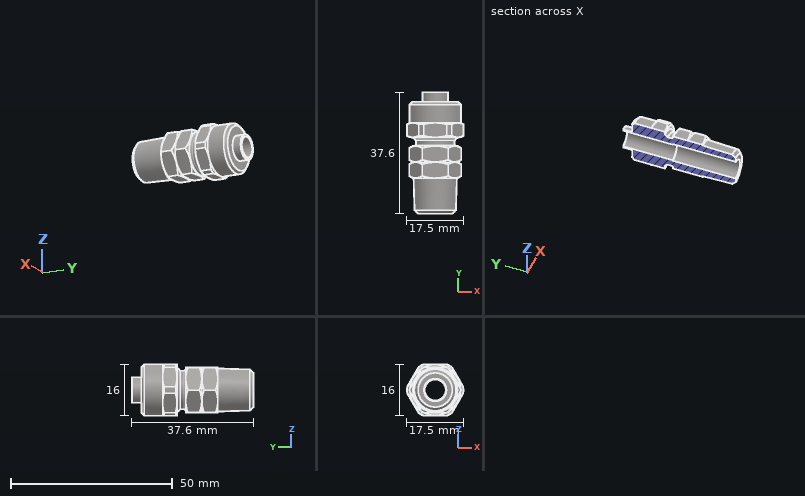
import cadquery as cq
import math


THREAD_LENGTH = 11.0
HEX_THICKNESS = 5.0
BODY_HEX_COUNT = 2
NECK_LENGTH = 2.6
NUT_HEX_THICKNESS = 4.5
NUT_SLEEVE_LENGTH = 6.58
TUBE_PROJECTION = 2.92

BODY_HEX_END = THREAD_LENGTH + BODY_HEX_COUNT * HEX_THICKNESS
NUT_START = BODY_HEX_END + NECK_LENGTH
NUT_HEX_END = NUT_START + NUT_HEX_THICKNESS
NUT_END = NUT_HEX_END + NUT_SLEEVE_LENGTH
TOTAL_LENGTH = NUT_END + TUBE_PROJECTION

THREAD_TIP_RADIUS = 6.43
THREAD_TAPER = 1 / 32
THREAD_CHAMFER = 1.15
THREAD_BASE_RADIUS = THREAD_TIP_RADIUS + THREAD_TAPER * (THREAD_LENGTH - THREAD_CHAMFER)

BODY_ACROSS_FLATS = 14.0
BODY_HEX_FACE_RADIUS = 6.9
HEX_CHAMFER_ANGLE = 30.0
CORNER_CLEARANCE = 0.1
CORNER_TO_FLAT_RATIO = 1 / math.cos(math.pi / 6)

NECK_RADIUS = 6.0
NECK_FILLET = 0.5
NECK_CONE_RISE = 0.87
COLLAR_RADIUS = 7.33
COLLAR_SLOPE_ANGLE = 5.0

NUT_ACROSS_FLATS = 16.0
NUT_CORNER_RADIUS = 8.75
NUT_FRONT_FACE_RADIUS = 7.85
NUT_SLEEVE_RADIUS = NUT_ACROSS_FLATS / 2
NUT_SLEEVE_CHAMFER = 0.95

TUBE_RADIUS = 4.0
TUBE_EDGE_CHAMFER = 0.1
BODY_BORE_RADIUS = 3.5
TUBE_BORE_RADIUS = 3.25


def cross_section(station):
    """Workplane square to the Y axis at a station, facing +Y."""
    return cq.Workplane(cq.Plane(origin=(0, station, 0), xDir=(1, 0, 0), normal=(0, 1, 0)))


def cylinder(radius, start, end):
    """Cylinder about the Y axis between two stations."""
    return cross_section(start).circle(radius).extrude(end - start)


def revolved(outline):
    """Turn a closed outline of (radius, station) around the Y axis."""
    return outline.close().revolve(360, (0, 0, 0), (0, 1, 0))


def chamfered_hex(across_flats, corner_radius, start, end, start_radius, end_radius):
    """Hexagon with two corners on X, trimmed by a turned envelope with a cone at each end."""
    prism = cross_section(start).polygon(6, across_flats * CORNER_TO_FLAT_RATIO).extrude(end - start)
    slope = math.tan(math.radians(HEX_CHAMFER_ANGLE))
    envelope = revolved(
        cq.Workplane("XY")
        .moveTo(0, start)
        .lineTo(start_radius, start)
        .lineTo(corner_radius, start + slope * (corner_radius - start_radius))
        .lineTo(corner_radius, end - slope * (corner_radius - end_radius))
        .lineTo(end_radius, end)
        .lineTo(0, end)
    )
    return prism.intersect(envelope)


def thread():
    """Tapered thread blank with a 45 degree lead-in chamfer."""
    return revolved(
        cq.Workplane("XY")
        .lineTo(THREAD_TIP_RADIUS - THREAD_CHAMFER, 0)
        .lineTo(THREAD_TIP_RADIUS, THREAD_CHAMFER)
        .lineTo(THREAD_BASE_RADIUS, THREAD_LENGTH)
        .lineTo(0, THREAD_LENGTH)
    )


def body_hex(index):
    """One of the equal hexagons stacked behind the thread."""
    start = THREAD_LENGTH + index * HEX_THICKNESS
    envelope_radius = BODY_ACROSS_FLATS / 2 * CORNER_TO_FLAT_RATIO + CORNER_CLEARANCE
    return chamfered_hex(
        BODY_ACROSS_FLATS,
        envelope_radius,
        start,
        start + HEX_THICKNESS,
        BODY_HEX_FACE_RADIUS,
        BODY_HEX_FACE_RADIUS,
    )


def neck():
    """Round neck, filleted into the body hexagon and flaring out to the nut."""
    fillet_centre_radius = NECK_RADIUS + NECK_FILLET
    fillet_end = BODY_HEX_END + NECK_FILLET
    offset = NECK_FILLET * math.sin(math.radians(45))
    flare_radius = NECK_RADIUS + NECK_CONE_RISE
    flare_end = NUT_START - (COLLAR_RADIUS - flare_radius) * math.tan(math.radians(COLLAR_SLOPE_ANGLE))
    return revolved(
        cq.Workplane("XY")
        .moveTo(0, BODY_HEX_END)
        .lineTo(fillet_centre_radius, BODY_HEX_END)
        .threePointArc((fillet_centre_radius - offset, fillet_end - offset), (NECK_RADIUS, fillet_end))
        .lineTo(NECK_RADIUS, flare_end - NECK_CONE_RISE)
        .lineTo(flare_radius, flare_end)
        .lineTo(COLLAR_RADIUS, NUT_START)
        .lineTo(0, NUT_START)
    )


def nut():
    """Hexagon with its round sleeve, chamfered at the tube end."""
    hexagon = chamfered_hex(
        NUT_ACROSS_FLATS,
        NUT_CORNER_RADIUS,
        NUT_START,
        NUT_HEX_END,
        NUT_FRONT_FACE_RADIUS,
        NUT_SLEEVE_RADIUS,
    )
    sleeve = cylinder(NUT_SLEEVE_RADIUS, NUT_HEX_END, NUT_END).faces(">Y").chamfer(NUT_SLEEVE_CHAMFER)
    return hexagon.union(sleeve)


def tube():
    """End of the tube projecting from the nut, with a broken outer edge."""
    return cylinder(TUBE_RADIUS, NUT_END, TOTAL_LENGTH).faces(">Y").chamfer(TUBE_EDGE_CHAMFER)


solid = thread()
solid = solid.union(neck()).union(nut()).union(tube())
for hex_index in range(BODY_HEX_COUNT):
    solid = solid.union(body_hex(hex_index))

solid = solid.cut(cylinder(BODY_BORE_RADIUS, 0, BODY_HEX_END))
result = solid.cut(cylinder(TUBE_BORE_RADIUS, BODY_HEX_END, TOTAL_LENGTH))